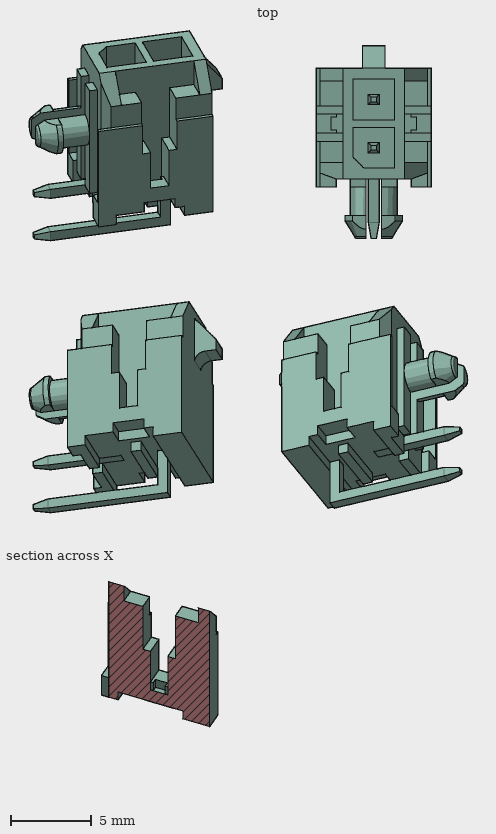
import cadquery as cq
import math


core_half_width = 1.91
wing_half_width = 3.32
plate_half_width = 3.57
leg_inner_half_width = 2.31
housing_back = 6.87
housing_height = 9.89
wing_top = 8.21
plate_top = 6.73
front_overhang = 0.5
front_tip_y = -3.68
front_leg_height = 1.59
corner_chamfer_depth = 0.37
front_gusset_depth = 1.04
back_gusset_depth = 0.78

mid_y = housing_back / 2
wide_channel_width = 2.2
wide_channel_floor = 4.74
narrow_channel_width = 1.18
narrow_channel_floor = 2.25
floor_pocket_depth = 0.64
pocket_slot_half_width = 2.64
pocket_slot_length = 0.81

pitch = 2.99
contact_rows = (mid_y - pitch / 2, mid_y + pitch / 2)
cavity_width = 2.58
cavity_length = 2.52
cavity_floor = narrow_channel_floor
key_chamfer = 0.69

pin_width = 0.69
pin_thickness = 0.64
pin_taper_length = 0.99
pin_tip_inset = 0.17
column_offset = 0.22
contact_tip_z = 6.73
column_top = 1.71
standoff = 0.64
upper_tail_z = standoff + pin_thickness / 2
tail_rows = (upper_tail_z, upper_tail_z - pitch)

front_leg_back = 0.64
channel_back = contact_rows[1] - column_offset + pin_thickness / 2
side_notch_length = 1.98
side_notch_top = standoff + pin_thickness
center_rib_width = 0.64

rib_width = 1.0
rib_gap = 0.93
rib_base = 1.26
rib_top = 8.5
peg_z = 5.29
peg_radius = rib_width
barb_radius = 1.32
barb_start_y = -2.25
barb_cone_y = -2.6
peg_cone_tip_radius = 0.73
peg_flat_radius = 0.56
peg_round_y = -3.55

latch_half_width = 0.7
latch_reach = 1.4
latch_top = 9.33
latch_nose_top = 7.67
latch_nose_base = 6.95
latch_root_radius = 0.7
latch_root_length = 0.69


def block(x_min, x_max, y_min, y_max, z_min, z_max):
    """Axis-aligned box between two opposite corners."""
    size = (x_max - x_min, y_max - y_min, z_max - z_min)
    return cq.Workplane("XY").box(*size, centered=False).translate((x_min, y_min, z_min))


def wide_block(half_width, y_min, y_max, z_min, z_max):
    """Box symmetric about X = 0."""
    return block(-half_width, half_width, y_min, y_max, z_min, z_max)


def gusset(y_min, y_max):
    """Sloped web that joins the top of the core to the wings on both sides."""
    profile = [
        (-core_half_width, housing_height),
        (core_half_width, housing_height),
        (wing_half_width, wing_top),
        (-wing_half_width, wing_top),
    ]
    return cq.Workplane("XZ").polyline(profile).close().extrude(y_min - y_max).translate((0, y_min, 0))


def chamfer_front_corners(body):
    """Cut the upright corners of the wings above the front legs."""
    for side in (-1, 1):
        corner = (
            cq.Workplane("XY")
            .polyline([
                (side * leg_inner_half_width, 0),
                (side * wing_half_width, corner_chamfer_depth),
                (side * wing_half_width, 0),
            ])
            .close()
            .extrude(housing_height)
        )
        body = body.cut(corner)
    return body


def housing_shell():
    """Core, wings, gussets, side plates and front legs."""
    shell = wide_block(core_half_width, 0, housing_back, 0, housing_height)
    shell = shell.union(wide_block(wing_half_width, 0, housing_back, 0, wing_top))
    shell = shell.union(gusset(0, front_gusset_depth))
    shell = shell.union(gusset(housing_back - back_gusset_depth, housing_back))
    shell = chamfer_front_corners(shell)
    plate = block(wing_half_width, plate_half_width, -front_overhang, housing_back, 0, plate_top)
    leg = block(
        leg_inner_half_width, plate_half_width, -front_overhang, front_leg_back, 0, front_leg_height
    )
    side_parts = plate.union(leg)
    shell = shell.union(side_parts).union(side_parts.mirror("YZ"))
    return shell


def side_pair(inner, outer, length, z_min, z_max):
    """Mirrored pair of boxes centred on the middle of the housing depth."""
    y_min = mid_y - length / 2
    y_max = mid_y + length / 2
    right = block(inner, outer, y_min, y_max, z_min, z_max)
    return right.union(right.mirror("YZ"))


def cut_side_channels(body):
    """Stepped channel in each side, with a two-width pocket sunk in its floor."""
    pocket_base = narrow_channel_floor - floor_pocket_depth
    cutters = [
        side_pair(core_half_width, plate_half_width, wide_channel_width, wide_channel_floor, housing_height),
        side_pair(core_half_width, plate_half_width, narrow_channel_width, narrow_channel_floor, housing_height),
        side_pair(core_half_width, leg_inner_half_width, narrow_channel_width, pocket_base, housing_height),
        side_pair(core_half_width, pocket_slot_half_width, pocket_slot_length, pocket_base, housing_height),
    ]
    for cutter in cutters:
        body = body.cut(cutter)
    return body


def cut_cavities(body):
    """Two contact cavities; the front one has a keyed corner."""
    for contact_y in contact_rows:
        cavity = wide_block(
            cavity_width / 2,
            contact_y - cavity_length / 2,
            contact_y + cavity_length / 2,
            cavity_floor,
            housing_height,
        )
        if contact_y == contact_rows[0]:
            cavity = cavity.edges("|Z and <X and <Y").chamfer(key_chamfer)
        body = body.cut(cavity)
    return body


def cut_underside(body):
    """Open channel across the base, side notches and the front slot for the upper pin tail."""
    body = body.cut(wide_block(plate_half_width, front_leg_back, channel_back, 0, standoff))
    body = body.cut(side_pair(leg_inner_half_width, plate_half_width, side_notch_length, 0, side_notch_top))
    body = body.cut(wide_block(pin_width / 2, 0, front_leg_back, 0, standoff))
    return body


def center_rib():
    """Cross rib under the floor, between the two pins."""
    half = center_rib_width / 2
    return wide_block(core_half_width, mid_y - half, mid_y + half, 0, standoff)


def front_rib():
    """Upright rib on the right half of the front wall."""
    return block(rib_gap / 2, rib_gap / 2 + rib_width, -front_overhang, 0, rib_base, rib_top)


def peg_half():
    """Barbed half peg, revolved about the inner face of the front rib."""
    tip_round_width = peg_cone_tip_radius - peg_flat_radius
    tip_round_length = peg_round_y - front_tip_y
    diagonal = math.sin(math.pi / 4)
    tip_round_middle = (
        peg_flat_radius + tip_round_width * diagonal,
        peg_round_y - tip_round_length * diagonal,
    )
    profile = (
        cq.Workplane("XY")
        .moveTo(0, -front_overhang)
        .lineTo(peg_radius, -front_overhang)
        .lineTo(peg_radius, barb_start_y)
        .lineTo(barb_radius, barb_start_y)
        .lineTo(barb_radius, barb_cone_y)
        .lineTo(peg_cone_tip_radius, peg_round_y)
        .threePointArc(tip_round_middle, (peg_flat_radius, front_tip_y))
        .lineTo(0, front_tip_y)
        .close()
    )
    peg = profile.revolve(360, (0, 0, 0), (0, 1, 0))
    envelope = block(0, barb_radius, front_tip_y, -front_overhang, -peg_radius, peg_radius)
    return peg.intersect(envelope).translate((rib_gap / 2, 0, peg_z))


def latch():
    """Wedge on the back wall with a rounded root below its nose."""
    nose_y = housing_back + latch_reach
    root_end_y = housing_back + latch_root_length
    sweep = math.asin(latch_root_length / latch_root_radius)

    def root_point(angle):
        """Point on the root arc, at an angle from where it meets the nose base."""
        y = root_end_y - latch_root_radius * math.sin(angle)
        z = latch_nose_base - latch_root_radius * (1 - math.cos(angle))
        return (y, z)

    profile = (
        cq.Workplane("YZ")
        .moveTo(housing_back, latch_top)
        .lineTo(nose_y, latch_nose_top)
        .lineTo(nose_y, latch_nose_base)
        .lineTo(root_end_y, latch_nose_base)
        .threePointArc(root_point(sweep / 2), root_point(sweep))
        .close()
    )
    return profile.extrude(latch_half_width, both=True)


def pin(contact_y, tail_z):
    """Bent pin: contact in the cavity, set-back column, and tail toward the front."""
    column_y = contact_y - column_offset
    half = pin_thickness / 2
    taper = math.degrees(math.atan(pin_tip_inset / pin_taper_length))
    contact_end = contact_tip_z - pin_taper_length
    tail_end = front_tip_y + pin_taper_length
    contact = wide_block(pin_width / 2, contact_y - half, contact_y + half, column_top, contact_end)
    column = wide_block(pin_width / 2, column_y - half, column_y + half, tail_z - half, column_top)
    tail = wide_block(pin_width / 2, tail_end, column_y + half, tail_z - half, tail_z + half)
    contact_tip = (
        cq.Workplane("XY", origin=(0, contact_y, contact_end))
        .rect(pin_width, pin_thickness)
        .extrude(pin_taper_length, taper=taper)
    )
    tail_tip = (
        cq.Workplane("XZ", origin=(0, tail_end, tail_z))
        .rect(pin_width, pin_thickness)
        .extrude(pin_taper_length, taper=taper)
    )
    return contact.union(column).union(tail).union(contact_tip).union(tail_tip)


def housing(contact_pins):
    """Complete housing, with passages that match the pins."""
    body = housing_shell()
    body = cut_side_channels(body)
    body = cut_cavities(body)
    body = cut_underside(body)
    body = body.union(center_rib()).union(latch())
    front_half = front_rib().union(peg_half())
    body = body.union(front_half).union(front_half.mirror("YZ"))
    for contact in contact_pins:
        body = body.cut(contact)
    return body


pins = [pin(contact_y, tail_z) for contact_y, tail_z in zip(contact_rows, tail_rows)]
connector_housing = housing(pins)

result = cq.Compound.makeCompound([
    connector_housing.solids().val(),
    *[contact.solids().val() for contact in pins],
])